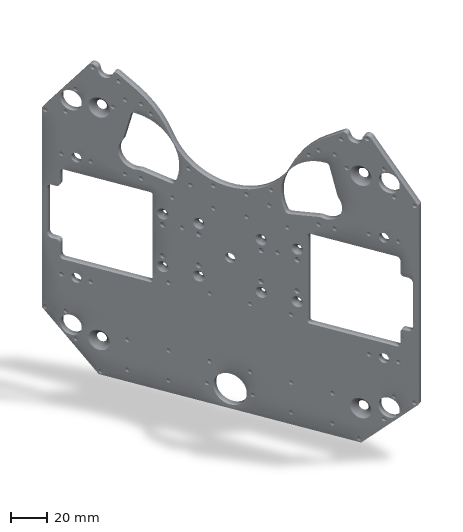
import cadquery as cq
import math


thickness = 4.0
half_width = 115.0
bottom_z = -100.0
bottom_chamfer = 34.7
shoulder_z = 67.5
shoulder_slope = 1.27
horn_round = 3.0
tip_round = 2.0

notch_x = 76.4
notch_z = 102.5
notch_radius = 4.5

valley_radius = 40.0
valley_z = 87.2
valley_half_angle = math.radians(66)
crest_radius = 58.5
crest_end_slope = math.radians(33)

window_inner_x = 47.4
window_outer_x = 104.2
window_half_height = 30.0
tab_outer_x = 112.0
tab_half_height = 17.7
window_inner_round = 1.4
window_outer_round = 2.3
tab_inner_round = 2.0
tab_outer_round = 3.2

fan_x = 58.5
fan_z = 52.5
fan_radius = 27.4
fan_hub_radius = 10.1
fan_side_offset = 9.0
fan_upper_angle = math.radians(105)
fan_lower_angle = math.radians(190)
fan_upper_round = 2.0
fan_lower_round = 2.8
fan_hub_blend = 4.5

screw_diameter = 2.8
pin_diameter = 3.5
post_diameter = 6.2
corner_hole_diameter = 13.0
cable_hole_diameter = 20.5
cable_hole_z = -87.2

small_sink_hole = 3.2
small_sink_head = 7.1
large_sink_hole = 6.2
large_sink_head = 13.0

post_x = 94.0
post_z = 40.0
post_screw_offset = 9.0
sink_columns = (19.0, 41.2)
small_sink_z = 17.5
pin_z = 10.4
large_sink_x = 80.0
large_sink_z = 77.3
corner_hole_x = 97.3
upper_corner_hole_z = 77.3
lower_corner_hole_z = -72.0

sides = (1, -1)
screw_points = [
    (84.0, 102.8), (68.0, 98.2), (64.2, 87.0), (54.3, 87.0), (48.3, 82.0), (71.5, 80.0),
    (94.3, 85.5), (100.5, 68.8), (113.0, 66.5),
    (113.0, -64.5), (100.5, -63.7), (94.3, -80.5), (79.1, -97.8),
    (64.2, 37.5), (54.3, 37.5), (25.3, 52.2), (24.2, 41.6), (10.1, 45.0),
    (35.2, 30.1), (10.1, 30.1), (29.2, 11.7), (37.5, -27.1), (12.5, -27.1),
    (62.8, -72.2), (37.5, -72.2), (12.5, -72.2), (62.8, -92.2), (37.5, -92.2),
    (14.0, cable_hole_z),
]
screw_points += [(post_x + i * post_screw_offset, j * post_z) for i in sides for j in sides]
pin_points = [(x, j * pin_z) for x in sink_columns for j in sides]
small_sink_points = [(x, j * small_sink_z) for x in sink_columns for j in sides]
large_sink_points = [(large_sink_x, j * large_sink_z) for j in sides]
post_points = [(post_x, j * post_z) for j in sides]
corner_hole_points = [(corner_hole_x, upper_corner_hole_z), (corner_hole_x, lower_corner_hole_z)]


def polar(centre, radius, angle):
    return (centre[0] + radius * math.cos(angle), centre[1] + radius * math.sin(angle))


def plane():
    return cq.Workplane("XZ")


def round_corner(body, point, radius):
    """Fillet the through-thickness edge at an (x, z) corner."""
    nearest = cq.selectors.NearestToPointSelector((point[0], thickness / 2, point[1]))
    return body.edges("|Y").edges(nearest).fillet(radius)


def half_plate():
    valley = (0, valley_z)
    valley_start = -math.pi / 2
    inflection_angle = valley_start + valley_half_angle
    inflection = polar(valley, valley_radius, inflection_angle)
    crest = polar(valley, valley_radius + crest_radius, inflection_angle)

    tip_x = notch_x - notch_radius
    crest_start_angle = inflection_angle + math.pi
    crest_end_angle = crest_end_slope + math.pi / 2
    crest_middle = polar(crest, crest_radius, (crest_start_angle + crest_end_angle) / 2)
    crest_end = polar(crest, crest_radius, crest_end_angle)
    tip = (tip_x, crest_end[1] + (tip_x - crest_end[0]) * math.tan(crest_end_slope))

    horn_x = notch_x + notch_radius
    horn = (horn_x, shoulder_z + shoulder_slope * (half_width - horn_x))

    body = (
        plane()
        .moveTo(0, bottom_z)
        .lineTo(half_width - bottom_chamfer, bottom_z)
        .lineTo(half_width, bottom_z + bottom_chamfer)
        .lineTo(half_width, shoulder_z)
        .lineTo(*horn)
        .lineTo(horn_x, notch_z)
        .threePointArc((notch_x, notch_z - notch_radius), (tip_x, notch_z))
        .lineTo(*tip)
        .lineTo(*crest_end)
        .threePointArc(crest_middle, inflection)
        .threePointArc(
            polar(valley, valley_radius, (valley_start + inflection_angle) / 2),
            (0, valley_z - valley_radius),
        )
        .close()
        .extrude(-thickness)
    )
    body = round_corner(body, horn, horn_round)
    return round_corner(body, tip, tip_round)


def window():
    def block(outer_x, half_height):
        return (
            plane()
            .center((window_inner_x + outer_x) / 2, 0)
            .rect(outer_x - window_inner_x, 2 * half_height)
            .extrude(-thickness)
        )

    body = block(window_outer_x, window_half_height).union(block(tab_outer_x, tab_half_height))
    for side in sides:
        body = round_corner(body, (window_inner_x, side * window_half_height), window_inner_round)
        body = round_corner(body, (window_outer_x, side * window_half_height), window_outer_round)
        body = round_corner(body, (window_outer_x, side * tab_half_height), tab_inner_round)
        body = round_corner(body, (tab_outer_x, side * tab_half_height), tab_outer_round)
    return body


def fan_opening():
    centre = (fan_x, fan_z)
    outer_spread = math.asin(fan_side_offset / fan_radius)
    hub_spread = math.asin(fan_side_offset / fan_hub_radius)
    middle_angle = (fan_upper_angle + fan_lower_angle) / 2

    upper_outer = polar(centre, fan_radius, fan_upper_angle - outer_spread)
    lower_outer = polar(centre, fan_radius, fan_lower_angle + outer_spread)
    upper_hub = polar(centre, fan_hub_radius, fan_upper_angle - hub_spread)
    lower_hub = polar(centre, fan_hub_radius, fan_lower_angle + hub_spread)

    body = (
        plane()
        .moveTo(*upper_outer)
        .threePointArc(polar(centre, fan_radius, middle_angle), lower_outer)
        .lineTo(*lower_hub)
        .threePointArc(polar(centre, fan_hub_radius, middle_angle + math.pi), upper_hub)
        .close()
        .extrude(-thickness)
    )
    body = round_corner(body, upper_outer, fan_upper_round)
    body = round_corner(body, lower_outer, fan_lower_round)
    body = round_corner(body, upper_hub, fan_hub_blend)
    return round_corner(body, lower_hub, fan_hub_blend)


def holes(points, diameter):
    return plane().pushPoints(points).circle(diameter / 2).extrude(-thickness)


def countersinks(points, hole_diameter, head_diameter):
    """Through holes with a 90 degree countersink in the front face."""
    depth = (head_diameter - hole_diameter) / 2
    cutters = holes(points, hole_diameter)
    for x, z in points:
        cone = cq.Solid.makeCone(
            head_diameter / 2, hole_diameter / 2, depth, cq.Vector(x, 0, z), cq.Vector(0, 1, 0)
        )
        cutters = cutters.union(cq.Workplane(cone))
    return cutters


half = half_plate().cut(window()).cut(fan_opening())
for points, diameter in (
    (screw_points, screw_diameter),
    (pin_points, pin_diameter),
    (post_points, post_diameter),
    (corner_hole_points, corner_hole_diameter),
):
    half = half.cut(holes(points, diameter))
half = half.cut(countersinks(small_sink_points, small_sink_hole, small_sink_head))
half = half.cut(countersinks(large_sink_points, large_sink_hole, large_sink_head))

result = half.union(half.mirror("YZ")).clean()
result = result.cut(holes([(0, 0)], post_diameter))
result = result.cut(holes([(0, cable_hole_z)], cable_hole_diameter))